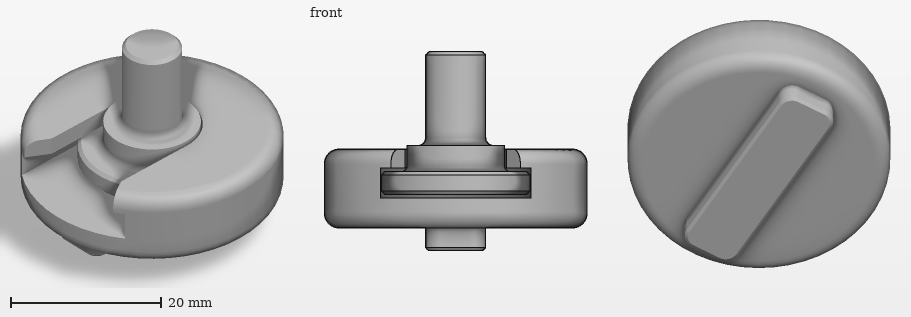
import cadquery as cq
import math

disc_diameter = 35.0
disc_height = 10.5
disc_round = 2.0

slot_width = 20.0
slot_floor = 4.0
slot_ceiling = 8.0
neck_width = 13.5
flare_start = 12.0
flare_angle = 30.0

key_width = 8.0
key_length = 28.0
key_height = 3.0
key_corner_radius = 2.0
key_chamfer = 0.4

shank_diameter = 8.0
collar_diameter = 13.0
flange_diameter = 19.8
flange_clearance = 0.5
flange_height = 3.0
collar_height = 3.5
total_height = 26.5
flange_chamfer = 0.45
collar_fillet = 0.8
shank_fillet = 1.0
shank_chamfer = 0.5

slot_reach = disc_diameter


def make_channel(width, bottom, top):
    """Slot with a round end on the disc axis, open toward -Y."""
    height = top - bottom
    base = cq.Workplane("XY").workplane(offset=bottom)
    round_end = base.circle(width / 2).extrude(height)
    straight = base.center(0, -slot_reach / 2).rect(width, slot_reach).extrude(height)
    return round_end.union(straight)


def make_neck_flare():
    """Tapered mouth that widens the neck toward the rim."""
    half_start = neck_width / 2
    half_end = half_start + (slot_reach - flare_start) * math.tan(math.radians(flare_angle))
    return (
        cq.Workplane("XY")
        .workplane(offset=slot_ceiling)
        .polyline([
            (-half_start, -flare_start),
            (half_start, -flare_start),
            (half_end, -slot_reach),
            (-half_end, -slot_reach),
        ])
        .close()
        .extrude(disc_height - slot_ceiling)
    )


def make_key():
    """Long key below the disc, with rounded corners and a chamfered bottom edge."""
    return (
        cq.Workplane("XY")
        .rect(key_width, key_length)
        .extrude(-key_height)
        .edges("|Z")
        .fillet(key_corner_radius)
        .faces("<Z")
        .edges()
        .chamfer(key_chamfer)
    )


def make_housing():
    disc = cq.Workplane("XY").circle(disc_diameter / 2).extrude(disc_height)
    disc = disc.faces("<Z or >Z").edges().fillet(disc_round)
    flange_slot = make_channel(slot_width, slot_floor, slot_ceiling)
    neck_slot = make_channel(neck_width, slot_ceiling, disc_height)
    return disc.cut(flange_slot).cut(neck_slot).cut(make_neck_flare()).union(make_key())


def fillet_root(body, level, diameter, radius):
    """Round the inner corner at the foot of a cylinder standing on a shoulder at the given level."""
    margin = 0.05
    side = diameter + margin
    corner_zone = cq.selectors.BoxSelector(
        (-side / 2, -side / 2, level - margin),
        (side / 2, side / 2, level + margin),
        boundingbox=True,
    )
    return body.edges(corner_zone).fillet(radius)


def make_pin():
    flange_bottom = slot_floor + flange_clearance
    flange_top = flange_bottom + flange_height
    collar_top = flange_top + collar_height
    shank_height = total_height - key_height - collar_top

    flange = (
        cq.Workplane("XY")
        .workplane(offset=flange_bottom)
        .circle(flange_diameter / 2)
        .extrude(flange_height)
        .edges()
        .chamfer(flange_chamfer)
    )
    collar = (
        cq.Workplane("XY")
        .workplane(offset=flange_top)
        .circle(collar_diameter / 2)
        .extrude(collar_height)
    )
    shank = (
        cq.Workplane("XY")
        .workplane(offset=collar_top)
        .circle(shank_diameter / 2)
        .extrude(shank_height)
        .faces(">Z")
        .edges()
        .chamfer(shank_chamfer)
    )
    pin = flange.union(collar).union(shank)
    pin = fillet_root(pin, flange_top, collar_diameter, collar_fillet)
    return fillet_root(pin, collar_top, shank_diameter, shank_fillet)


housing = make_housing()
pin = make_pin()

result = cq.Compound.makeCompound([housing.solids().val(), pin.solids().val()])